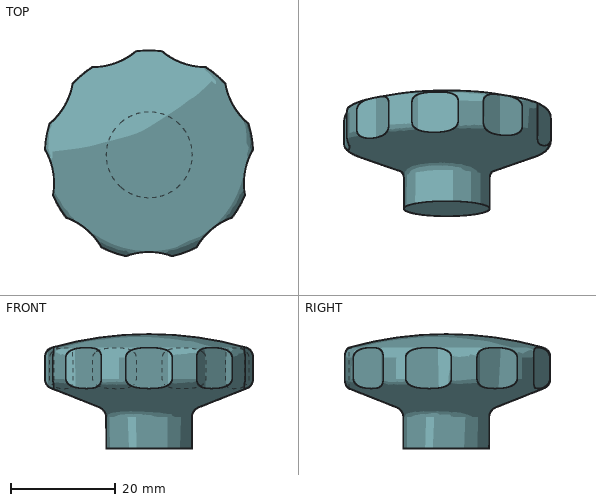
import cadquery as cq
import math

head_radius = 20.0
total_height = 22.0
hub_radius = 8.25

dome_edge_height = 19.0
rim_bottom_height = 12.05
hub_top_height = 7.4

rim_fillet = 2.0
neck_fillet = 2.0

flute_count = 9
flute_width = 8.9
flute_floor_radius = 18.7
first_flute_angle = -90.0

selection_margin = 0.01


def round_circle(body, radius, height, fillet):
    """Fillet the circular edge of the given radius at the given height."""
    reach = radius + selection_margin
    circle_edge = cq.selectors.BoxSelector(
        (-reach, -reach, height - selection_margin),
        (reach, reach, height + selection_margin),
        boundingbox=True,
    )
    return body.edges(circle_edge).fillet(fillet)


def make_body():
    """Revolved head, cone and hub, with rounded rim and neck."""
    dome_rise = total_height - dome_edge_height
    dome_radius = (head_radius**2 + dome_rise**2) / (2 * dome_rise)
    dome_mid_x = head_radius / 2
    dome_mid_z = total_height - dome_radius + math.sqrt(dome_radius**2 - dome_mid_x**2)
    profile = (
        cq.Workplane("XZ")
        .moveTo(0, 0)
        .lineTo(hub_radius, 0)
        .lineTo(hub_radius, hub_top_height)
        .lineTo(head_radius, rim_bottom_height)
        .lineTo(head_radius, dome_edge_height)
        .threePointArc((dome_mid_x, dome_mid_z), (0, total_height))
        .close()
    )
    body = profile.revolve(360, (0, 0, 0), (0, 1, 0))
    body = round_circle(body, head_radius, dome_edge_height, rim_fillet)
    body = round_circle(body, head_radius, rim_bottom_height, rim_fillet)
    return round_circle(body, hub_radius, hub_top_height, neck_fillet)


def make_flute_cutters():
    """Upright cylinders, centred outside the rim, that scoop out the flutes."""
    half_width = flute_width / 2
    flute_depth = math.sqrt(head_radius**2 - half_width**2) - flute_floor_radius
    flute_radius = (half_width**2 + flute_depth**2) / (2 * flute_depth)
    return (
        cq.Workplane("XY")
        .polarArray(flute_floor_radius + flute_radius, first_flute_angle, 360, flute_count)
        .circle(flute_radius)
        .extrude(total_height, combine=False)
    )


result = make_body().cut(make_flute_cutters())